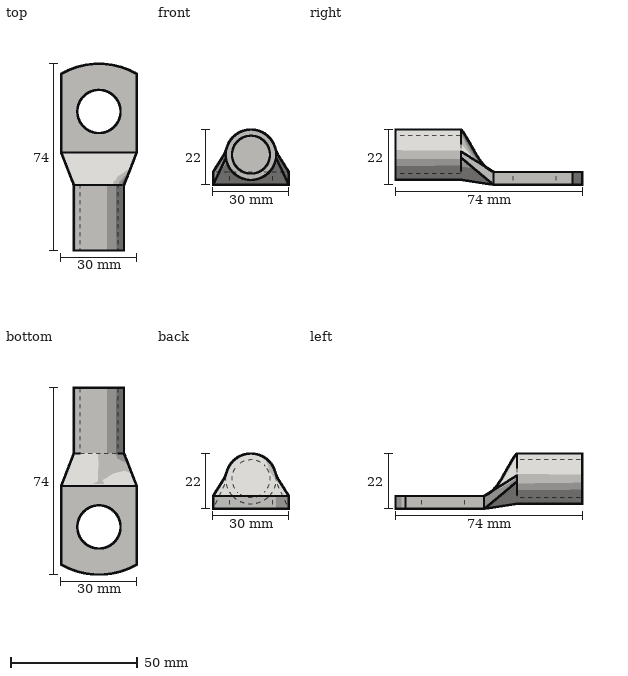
import cadquery as cq
import math

total_length = 74.0
palm_width = 30.0
palm_thickness = 5.2
palm_end_radius = palm_width
stud_hole_diameter = 17.0
stud_hole_from_tip = 18.95

barrel_diameter = 20.0
bore_diameter = 15.0
barrel_length = 26.0
barrel_lift = 2.0
neck_length = 12.9
neck_side_angle = 7.0
neck_dish_depth = 2.2
neck_dish_near_barrel = 0.75

neck_start = barrel_length
palm_start = neck_start + neck_length
palm_tip = total_length
stud_hole_y = palm_tip - stud_hole_from_tip
barrel_axis_z = barrel_lift + barrel_diameter / 2

half_width = palm_width / 2
tip_rise = palm_end_radius - math.sqrt(palm_end_radius**2 - half_width**2)
palm_shoulder = palm_tip - tip_rise


def plane_across_y(y, z):
    """Plane facing +Y, with local x along -X and local y along Z."""
    return cq.Plane(origin=(0, y, z), xDir=(-1, 0, 0), normal=(0, 1, 0))


def make_palm():
    """Flat palm with a rounded tip and a stud hole."""
    blank = (
        cq.Workplane("XY")
        .moveTo(-half_width, palm_start)
        .lineTo(half_width, palm_start)
        .lineTo(half_width, palm_shoulder)
        .threePointArc((0, palm_tip), (-half_width, palm_shoulder))
        .close()
        .extrude(palm_thickness)
    )
    hole = (
        cq.Workplane("XY")
        .center(0, stud_hole_y)
        .circle(stud_hole_diameter / 2)
        .extrude(palm_thickness)
    )
    return blank.cut(hole)


def between(start, end, fraction):
    """Value a given fraction of the way from start to end."""
    return start + (end - start) * fraction


def neck_section(fraction, dish_depth):
    """Four-sided neck outline, a given fraction of the way from palm to barrel."""
    radius = barrel_diameter / 2
    side_angle = math.radians(neck_side_angle)
    rim_corner_x = radius * math.cos(side_angle)
    rim_corner_rise = radius * math.sin(side_angle)

    corner_x = between(half_width, rim_corner_x, fraction)
    side_x = between(half_width, radius, fraction)
    upper_z = between(palm_thickness, barrel_axis_z + rim_corner_rise, fraction)
    lower_z = between(0, barrel_axis_z - rim_corner_rise, fraction)
    top_z = between(palm_thickness, barrel_axis_z + radius, fraction) - dish_depth
    bottom_z = between(0, barrel_lift, fraction)
    side_z = (upper_z + lower_z) / 2

    y = between(palm_start, neck_start, fraction)
    corners = [(corner_x, lower_z), (corner_x, upper_z), (-corner_x, upper_z), (-corner_x, lower_z)]
    middles = [(side_x, side_z), (0, top_z), (-side_x, side_z), (0, bottom_z)]
    points = [cq.Vector(x, y, z) for x, z in corners]
    edges = []
    for i, (middle_x, middle_z) in enumerate(middles):
        start = points[i]
        end = points[(i + 1) % len(points)]
        if fraction == 0:
            edges.append(cq.Edge.makeLine(start, end))
        else:
            edges.append(cq.Edge.makeThreePointArc(start, cq.Vector(middle_x, y, middle_z), end))
    return cq.Wire.assembleEdges(edges)


def make_neck():
    """Solid transition from the rectangular palm to the round barrel, with a dished top."""
    dish_depths = (0, neck_dish_depth, neck_dish_depth, neck_dish_near_barrel, 0)
    intervals = len(dish_depths) - 1
    sections = [neck_section(i / intervals, depth) for i, depth in enumerate(dish_depths)]
    return cq.Workplane("XY").newObject([cq.Solid.makeLoft(sections)])


def make_barrel():
    """Tube that is closed at its inner end by the neck."""
    return (
        cq.Workplane(plane_across_y(0, barrel_axis_z))
        .circle(barrel_diameter / 2)
        .circle(bore_diameter / 2)
        .extrude(barrel_length)
    )


result = make_palm().union(make_neck()).union(make_barrel())